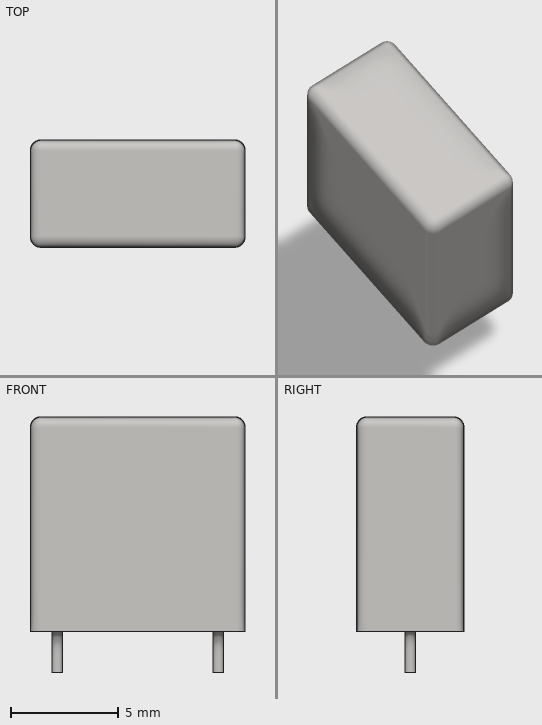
import cadquery as cq

total_height = 11.9
body_length = 10.0
body_width = 5.0
body_height = 10.0
edge_radius = 0.5
pin_diameter = 0.5
pin_spacing = 7.5

pin_length = total_height - body_height


def make_body():
    """Box standing on Z = 0, with every edge rounded except those of the base."""
    box = cq.Workplane("XY").box(body_length, body_width, body_height, centered=(True, True, False))
    return box.edges("|Z or >Z").fillet(edge_radius)


def make_pins():
    """Two round leads hanging straight down from the base."""
    pin_centers = [(-pin_spacing / 2, 0), (pin_spacing / 2, 0)]
    return cq.Workplane("XY").pushPoints(pin_centers).circle(pin_diameter / 2).extrude(-pin_length)


result = make_body().union(make_pins())